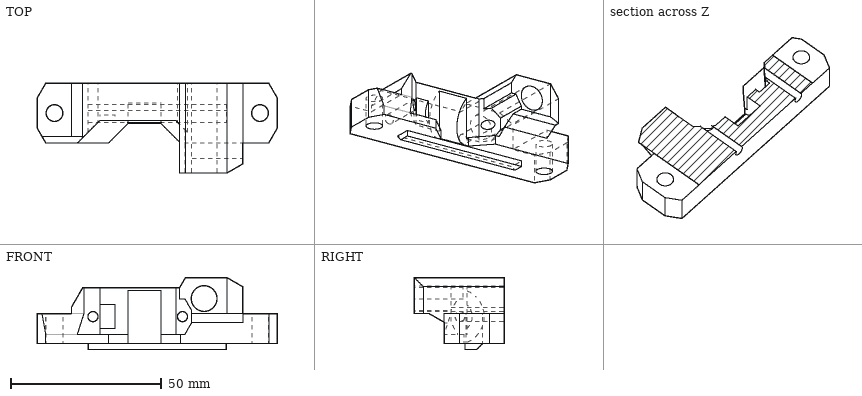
import cadquery as cq
import math

TAN_30 = math.tan(math.radians(30))

BASE_LENGTH = 80.0
BASE_DEPTH = 20.0
BASE_HEIGHT = 10.0
CORNER_Y = 5.0
CORNER_X = CORNER_Y * TAN_30
MOUNT_HOLE_X = 34.2
MOUNT_HOLE_DIAMETER = 5.5

BODY_LEFT = -28.6
BODY_DEPTH = 17.8
BODY_TOP = 18.6
BODY_SLOPE_HEIGHT = 6.5
BODY_SLOPE_RUN = BODY_SLOPE_HEIGHT * TAN_30

BLOCK_LEFT = 7.4
BLOCK_RIGHT = 28.5
BLOCK_DEPTH = 30.0
BLOCK_TOP = 22.0
BLOCK_LEFT_CHAMFER_RUN = (BLOCK_TOP - BODY_TOP) * TAN_30
BLOCK_RIGHT_CHAMFER_RUN = 5.3
BLOCK_RIGHT_CHAMFER_DROP = BLOCK_RIGHT_CHAMFER_RUN * TAN_30
GUSSET_REACH = 5.1
GUSSET_DROP = GUSSET_REACH * TAN_30
BORE_X = 15.6
BORE_Z = 15.0
BORE_DIAMETER = 8.5

RIB_LENGTH = 46.0
RIB_HEIGHT = 2.0
RIB_BACK = 7.2
RIB_FRONT = 13.1

RECESS_LEFT = -19.1
RECESS_RIGHT = 6.2
RECESS_BACK = 12.5
FLOOR_Z = 3.1
AXIS_Z = 9.0
SCREW_X = (-21.4, 8.4)
SCREW_HOLE_DIAMETER = 3.3

CLEARANCE_RIGHT = 11.4
CLEARANCE_HALF_HEIGHT = AXIS_Z - FLOOR_Z
CLEARANCE_HALF_FLAT = 2.1
CLEARANCE_CHAMFER_RUN = (CLEARANCE_HALF_HEIGHT - CLEARANCE_HALF_FLAT) * TAN_30

NOTCH_LEFT = -9.75
NOTCH_RIGHT = 1.25
NOTCH_BACK = 13.5

POCKET_AXIS_Y = -16.0
DRUM_RADIUS = 9.3
HUB_LEFT = -19.0
HUB_RIGHT = -14.1
HUB_RADIUS = 5.3


def prism_z(points, bottom, top):
    return cq.Workplane("XY").workplane(offset=bottom).polyline(points).close().extrude(top - bottom)


def prism_y(points, depth):
    """Extrude an (x, z) outline from Y = 0 forward to Y = -depth."""
    return cq.Workplane("XZ").polyline(points).close().extrude(depth)


def prism_x(points, left, right):
    """Extrude a (y, z) outline between two X positions."""
    return cq.Workplane("YZ").workplane(offset=left).polyline(points).close().extrude(right - left)


def cylinder_x(radius, left, right):
    plane = cq.Workplane("YZ", origin=(left, POCKET_AXIS_Y, AXIS_Z))
    return plane.circle(radius).extrude(right - left)


def hole_y(x, z, diameter):
    return cq.Workplane("XZ", origin=(x, 0, z)).circle(diameter / 2).extrude(BLOCK_DEPTH)


def make_base():
    end = BASE_LENGTH / 2
    shoulder = end - CORNER_X
    outline = [
        (-shoulder, 0),
        (shoulder, 0),
        (end, -CORNER_Y),
        (end, CORNER_Y - BASE_DEPTH),
        (shoulder, -BASE_DEPTH),
        (-shoulder, -BASE_DEPTH),
        (-end, CORNER_Y - BASE_DEPTH),
        (-end, -CORNER_Y),
    ]
    return prism_z(outline, 0, BASE_HEIGHT)


def make_body():
    outline = [
        (BODY_LEFT, 0),
        (BODY_LEFT, BODY_TOP - BODY_SLOPE_HEIGHT),
        (BODY_LEFT + BODY_SLOPE_RUN, BODY_TOP),
        (BLOCK_LEFT, BODY_TOP),
        (BLOCK_LEFT, 0),
    ]
    return prism_y(outline, BODY_DEPTH)


def make_block():
    shoulder_x = BLOCK_RIGHT - BLOCK_RIGHT_CHAMFER_RUN
    front_outline = [
        (BLOCK_LEFT, 0),
        (BLOCK_LEFT, BODY_TOP),
        (BLOCK_LEFT + BLOCK_LEFT_CHAMFER_RUN, BLOCK_TOP),
        (shoulder_x, BLOCK_TOP),
        (BLOCK_RIGHT, BLOCK_TOP - BLOCK_RIGHT_CHAMFER_DROP),
        (BLOCK_RIGHT, 0),
    ]
    side_outline = [
        (0, 0),
        (0, BLOCK_TOP),
        (-BLOCK_DEPTH, BLOCK_TOP),
        (-BLOCK_DEPTH, BASE_HEIGHT),
        (-BASE_DEPTH - GUSSET_REACH, BASE_HEIGHT),
        (-BASE_DEPTH, BASE_HEIGHT - GUSSET_DROP),
        (-BASE_DEPTH, 0),
    ]
    corner = [
        (shoulder_x, -BLOCK_DEPTH),
        (BLOCK_RIGHT, -BLOCK_DEPTH),
        (BLOCK_RIGHT, -BLOCK_DEPTH + BLOCK_RIGHT_CHAMFER_DROP),
    ]
    block = prism_y(front_outline, BLOCK_DEPTH)
    block = block.intersect(prism_x(side_outline, BLOCK_LEFT, BLOCK_RIGHT))
    return block.cut(prism_z(corner, 0, BLOCK_TOP))


def make_rib():
    outline = [
        (-RIB_BACK, 0),
        (-RIB_BACK - RIB_HEIGHT, -RIB_HEIGHT),
        (-RIB_FRONT, -RIB_HEIGHT),
        (-RIB_FRONT, 0),
    ]
    return prism_x(outline, -RIB_LENGTH / 2, RIB_LENGTH / 2)


def make_front_slope():
    """Wedge removed from the base front, left of the block."""
    outline = [
        (-BODY_DEPTH, BASE_HEIGHT),
        (-BASE_DEPTH, BASE_HEIGHT),
        (-BASE_DEPTH, FLOOR_Z),
    ]
    return prism_x(outline, -BASE_LENGTH / 2, RECESS_LEFT)


def make_recess():
    spread = BLOCK_DEPTH - RECESS_BACK
    plan = [
        (RECESS_LEFT, -RECESS_BACK),
        (RECESS_RIGHT, -RECESS_BACK),
        (RECESS_RIGHT + spread, -BLOCK_DEPTH),
        (RECESS_LEFT - spread, -BLOCK_DEPTH),
    ]
    clearance_shoulder = CLEARANCE_RIGHT - CLEARANCE_CHAMFER_RUN
    clearance_top = AXIS_Z + CLEARANCE_HALF_HEIGHT
    profile = [
        (-BASE_LENGTH / 2, FLOOR_Z),
        (clearance_shoulder, FLOOR_Z),
        (CLEARANCE_RIGHT, AXIS_Z - CLEARANCE_HALF_FLAT),
        (CLEARANCE_RIGHT, AXIS_Z + CLEARANCE_HALF_FLAT),
        (clearance_shoulder, clearance_top),
        (BLOCK_LEFT, clearance_top),
        (BLOCK_LEFT, BODY_TOP),
        (-BASE_LENGTH / 2, BODY_TOP),
    ]
    return prism_z(plan, 0, BLOCK_TOP).intersect(prism_y(profile, BLOCK_DEPTH))


def make_notch():
    spread = BASE_DEPTH - NOTCH_BACK
    plan = [
        (NOTCH_LEFT, -NOTCH_BACK),
        (NOTCH_RIGHT, -NOTCH_BACK),
        (NOTCH_RIGHT + spread, -BASE_DEPTH),
        (NOTCH_LEFT - spread, -BASE_DEPTH),
    ]
    return prism_z(plan, 0, FLOOR_Z)


def make_mount_holes():
    centres = [(-MOUNT_HOLE_X, -BASE_DEPTH / 2), (MOUNT_HOLE_X, -BASE_DEPTH / 2)]
    return cq.Workplane("XY").pushPoints(centres).circle(MOUNT_HOLE_DIAMETER / 2).extrude(BASE_HEIGHT)


result = make_base().union(make_body()).union(make_block())
result = result.cut(make_front_slope()).cut(make_recess()).cut(make_notch())
result = result.cut(cylinder_x(DRUM_RADIUS, NOTCH_LEFT, NOTCH_RIGHT))
result = result.cut(cylinder_x(HUB_RADIUS, HUB_LEFT, HUB_RIGHT))
for screw_x in SCREW_X:
    result = result.cut(hole_y(screw_x, AXIS_Z, SCREW_HOLE_DIAMETER))
result = result.cut(hole_y(BORE_X, BORE_Z, BORE_DIAMETER))
result = result.cut(make_mount_holes())
result = result.union(make_rib())